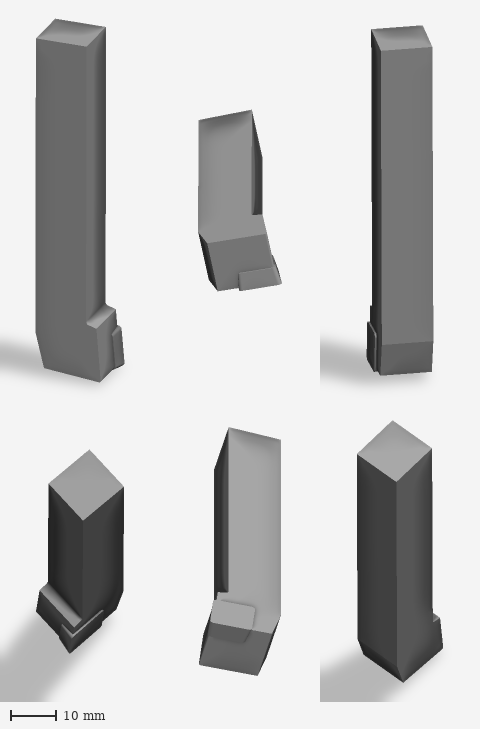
import cadquery as cq
import math

length = 81.35
tip_x = 16.35
depth = 12.0

shank_width = 12.0
holder_thickness = 11.55
shank_lean = 0.25
bend_z = 10.4
heel_x, heel_z = 2.0, 2.1
toe_x, toe_z = 15.5, 0.8
shoulder_x, shoulder_z = 14.5, 13.7
shoulder_root_z = 14.4
shoulder_fillet = 0.7
toe_fillet = 0.4

inscribed_circle = 9.5
nose_angle = 80.0
approach_angle = 5.0
relief_angle = 7.0
insert_thickness = 4.0
nose_radius = 0.8
rake_y = depth


def fillet_corner(body, x, z, radius):
    """Round the edge along Y that passes through the outline corner (x, z)."""
    around_corner = cq.selectors.BoxSelector(
        (x - radius, -depth, z - radius),
        (x + radius, 2 * depth, z + radius),
    )
    return body.edges("|Y").edges(around_corner).fillet(radius)


def make_holder_blank():
    """Slanted-head bar, leaning slightly towards +Y by a turn about the X axis."""
    outline = [
        (0, length),
        (0, bend_z),
        (heel_x, heel_z),
        (toe_x, toe_z),
        (shoulder_x, shoulder_z),
        (shank_width, shoulder_root_z),
        (shank_width, length),
    ]
    blank = cq.Workplane("XZ").polyline(outline).close().extrude(-holder_thickness)
    blank = fillet_corner(blank, shank_width, shoulder_root_z, shoulder_fillet)
    blank = fillet_corner(blank, toe_x, toe_z, toe_fillet)
    lean_angle = math.degrees(math.atan2(shank_lean, length))
    return blank.rotate((0, 0, 0), (1, 0, 0), -lean_angle)


def make_insert():
    """Rhombus with rounded corners, narrowing from the rake face to its seat."""
    side = inscribed_circle / math.sin(math.radians(nose_angle))
    tilt = math.radians(approach_angle)
    run = side * math.cos(tilt)
    rise = side * math.sin(tilt)

    corner_shift = nose_radius / math.tan(math.radians(nose_angle / 2))
    nose_x = tip_x - nose_radius + nose_radius * math.cos(tilt) + corner_shift * math.sin(tilt)
    nose_z = nose_radius - nose_radius * math.cos(tilt) - corner_shift * math.sin(tilt)
    rhombus = [
        (nose_x, nose_z),
        (nose_x - rise, nose_z + run),
        (nose_x - rise - run, nose_z + run + rise),
        (nose_x - run, nose_z + rise),
    ]
    prism = (
        cq.Workplane("XZ", origin=(0, rake_y, 0))
        .polyline(rhombus)
        .close()
        .extrude(insert_thickness, taper=relief_angle)
    )
    slanted_corners = prism.edges("not(#Y)")
    return slanted_corners.fillet(nose_radius)


insert = make_insert()
holder = make_holder_blank().cut(insert)

result = cq.Compound.makeCompound([holder.solids().val(), insert.solids().val()])